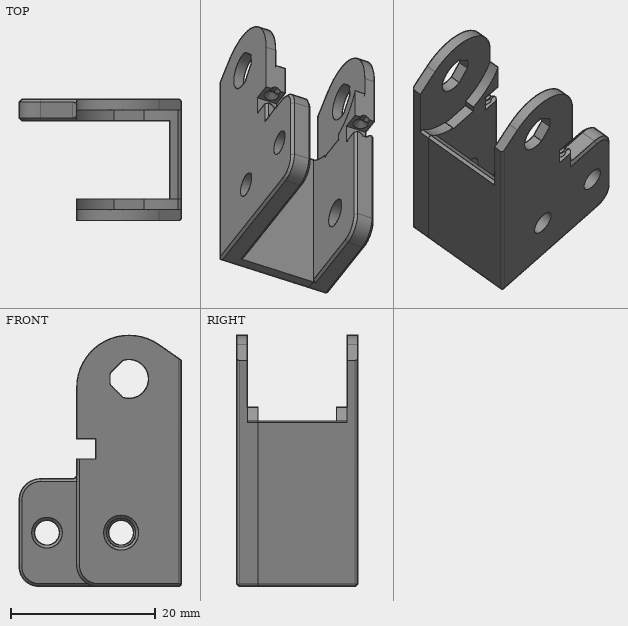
import cadquery as cq
import math

height = 34.8
total_width = 16.8
plate_length = 14.5
plate_thickness = 3.0
thin_thickness = 1.5
wall_thickness = 1.65
tab_length = 7.97
tab_height = 14.93
tab_inner_radius = 0.6
tab_top_radius = 3.0
tab_bottom_radius = 2.75
near_corner_radius = 3.0
edge_chamfer = 0.4
back_edge_radius = 0.42
slope_end_height = 31.32

key_hole_diameter = 5.35
key_hole_height = 28.75
key_flat_distance = 2.4
key_end_distance = 2.6

front_arc_radius = 8.25
back_arc_radius = 8.9
flat_length = 4.2
lip_length = 0.5
lip_drop = 0.2

screw_height = 7.45
screw_x = 6.15
screw_spacing = 10.25
screw_diameter = 3.4
near_screw_diameter = 4.0
screw_chamfer = 0.42

notch_depth = 2.65
notch_bottom = 17.68
notch_height = 2.75
dimple_radius = 1.05
dimple_depth = 0.7
groove_depth = 0.5
groove_half_width = 0.75
groove_floor_half_width = 0.25

half_length = plate_length / 2
near_inner = plate_thickness
far_inner = total_width - plate_thickness
arc_height = height - half_length
notch_top = notch_bottom + notch_height

margin = 0.35
pick_reach = 0.05


def prism(sketch, y_start, y_end):
    """Extrude a sketch drawn on the XZ plane from y_start to y_end."""
    return sketch.extrude(-(y_end - y_start)).translate((0, y_start, 0))


def cylinder(x, z, radius, y_start, y_end):
    return prism(cq.Workplane("XZ").center(x, z).circle(radius), y_start, y_end)


def plate(y_start):
    """Upright plate with a round top that runs tangentially into a slope."""
    reach_x = plate_length - half_length
    reach_z = slope_end_height - arc_height
    slope_angle = math.atan2(reach_z, reach_x) + math.acos(half_length / math.hypot(reach_x, reach_z))

    def arc_point(angle):
        return (half_length + half_length * math.cos(angle), arc_height + half_length * math.sin(angle))

    sketch = (
        cq.Workplane("XZ")
        .lineTo(0, arc_height)
        .threePointArc(arc_point(math.pi / 2), arc_point(slope_angle))
        .lineTo(plate_length, slope_end_height)
        .lineTo(plate_length, 0)
        .close()
    )
    return prism(sketch, y_start, y_start + plate_thickness)


def outline_corner(x, z):
    """Selector for the edges along Y that pass through a point of the XZ outline."""
    low = (x - pick_reach, -margin, z - pick_reach)
    high = (x + pick_reach, total_width + margin, z + pick_reach)
    return cq.selectors.BoxSelector(low, high)


def far_plate_with_tab():
    tab = cq.Workplane("XY").box(tab_length + half_length, plate_thickness, tab_height, centered=False)
    body = plate(far_inner).union(tab.translate((-tab_length, far_inner, 0)))
    body = body.edges(outline_corner(-tab_length, 0)).fillet(tab_bottom_radius)
    return body.edges(outline_corner(-tab_length, tab_height)).fillet(tab_top_radius)


def near_plate():
    return plate(0).edges(outline_corner(0, 0)).fillet(near_corner_radius)


def recess():
    """Cutter that thins the upper plates and hollows the top of the back wall."""
    flat_start = half_length - flat_length / 2
    flat_end = half_length + flat_length / 2
    lip_start = plate_length - lip_length

    def arc_point(radius, x):
        return (x, key_hole_height - math.sqrt(radius**2 - (x - half_length) ** 2))

    start = arc_point(front_arc_radius, -margin)
    lip = arc_point(back_arc_radius, lip_start)
    floor = key_hole_height - back_arc_radius
    lip_slope = lip_drop / lip_length
    sketch = (
        cq.Workplane("XZ")
        .moveTo(-margin, height + margin)
        .lineTo(*start)
        .threePointArc(arc_point(front_arc_radius, flat_start / 2), arc_point(front_arc_radius, flat_start))
        .lineTo(flat_start, floor)
        .lineTo(flat_end, floor)
        .lineTo(*arc_point(back_arc_radius, flat_end))
        .threePointArc(arc_point(back_arc_radius, (flat_end + lip_start) / 2), lip)
        .lineTo(plate_length + margin, lip[1] - lip_slope * (lip_length + margin))
        .lineTo(plate_length + margin, height + margin)
        .close()
    )
    return prism(sketch, thin_thickness, total_width - thin_thickness)


def key_hole():
    """Round hole whose front side is narrowed by two 45 degree flats and a short upright one."""
    radius = key_hole_diameter / 2
    far = 2 * radius
    corner = math.sqrt(2) * key_flat_distance - key_end_distance
    tip = math.sqrt(2) * key_flat_distance + far
    outline = (
        cq.Workplane("XZ")
        .center(half_length, key_hole_height)
        .polyline(
            [
                (-key_end_distance, -corner),
                (-key_end_distance, corner),
                (far, tip),
                (far, -tip),
            ]
        )
        .close()
    )
    bore = cylinder(half_length, key_hole_height, radius, -margin, total_width + margin)
    return bore.intersect(prism(outline, -margin, total_width + margin))


def screw_hole(x, diameter, y_start):
    """Screw hole through one plate, chamfered where it opens toward -Y."""
    radius = diameter / 2
    bore = cylinder(x, screw_height, radius, y_start, y_start + plate_thickness)
    mouth = cq.Solid.makeCone(
        radius + screw_chamfer,
        radius,
        screw_chamfer,
        pnt=cq.Vector(x, y_start, screw_height),
        dir=cq.Vector(0, 1, 0),
    )
    return bore.union(cq.Workplane(mouth))


def notch_dimple(y):
    """Conical dimple and the groove that opens it to the front, sunk below Z = 0."""
    dimple = cq.Solid.makeCone(
        dimple_radius,
        0,
        dimple_depth,
        pnt=cq.Vector(notch_depth / 2, y, 0),
        dir=cq.Vector(0, 0, -1),
    )
    groove = (
        cq.Workplane("YZ")
        .polyline(
            [
                (y - groove_half_width, 0),
                (y + groove_half_width, 0),
                (y + groove_floor_half_width, -groove_depth),
                (y - groove_floor_half_width, -groove_depth),
            ]
        )
        .close()
        .extrude(notch_depth / 2)
    )
    return groove.union(cq.Workplane(dimple))


def raw_bracket():
    """Both plates and the back wall, with the recess and the notch but with sharp edges."""
    wall = cq.Workplane("XY").box(wall_thickness, far_inner - near_inner, key_hole_height, centered=False)
    wall = wall.translate((plate_length - wall_thickness, near_inner, 0))
    notch = cq.Workplane("XY").box(notch_depth, total_width, notch_height, centered=False)
    notch = notch.translate((0, 0, notch_bottom))
    return near_plate().union(far_plate_with_tab()).union(wall).cut(recess()).cut(notch)


def chamfer_plate_rim(body, y):
    """Chamfer the rim below the notch on the plate face that lies at y."""
    low = (-tab_length - margin, y - pick_reach, -margin)
    high = (plate_length - wall_thickness - margin, y + pick_reach, notch_bottom - pick_reach)
    nearby = body.edges(cq.selectors.BoxSelector(low, high)).vals()
    rim = [edge for edge in nearby if edge.BoundingBox().ylen < pick_reach]
    return body.newObject(rim).chamfer(edge_chamfer)


def rounded_envelope():
    """Block around the whole bracket, rounded along its upright and bottom back edges."""
    block = cq.Workplane("XY").box(
        tab_length + margin + plate_length, total_width, height + margin, centered=False
    )
    block = block.translate((-tab_length - margin, 0, 0))
    return block.faces(">X").edges("|Z or <Z").fillet(back_edge_radius)


def finished_bracket():
    body = raw_bracket()
    for y in (0, near_inner, far_inner, total_width):
        body = chamfer_plate_rim(body, y)
    body = body.edges(outline_corner(0, tab_height)).fillet(tab_inner_radius)
    body = body.intersect(rounded_envelope()).cut(key_hole())

    body = body.cut(screw_hole(screw_x, near_screw_diameter, 0))
    for x in (screw_x, screw_x - screw_spacing):
        body = body.cut(screw_hole(x, screw_diameter, far_inner))

    for y in (plate_thickness / 2, total_width - plate_thickness / 2):
        dimple = notch_dimple(y)
        body = body.cut(dimple.translate((0, 0, notch_bottom)))
        body = body.cut(dimple.mirror("XY").translate((0, 0, notch_top)))
    return body


bracket = finished_bracket()
near_region = cq.Workplane("XY").box(plate_length, near_inner, height, centered=False)
near_side_plate = bracket.intersect(near_region)
main_frame = bracket.cut(near_region)

result = cq.Compound.makeCompound([near_side_plate.val(), main_frame.val()])